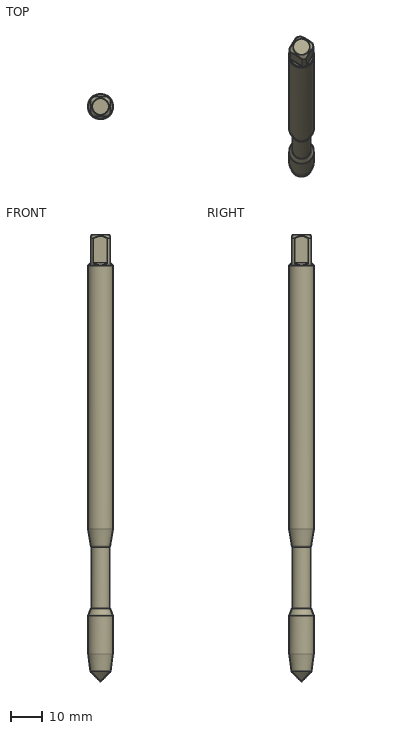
import cadquery as cq

total_length = 143.1

thread_diameter = 8.0
tip_diameter = 6.6
tip_height = tip_diameter / 2
lead_top = 8.9
thread_top = 21.0
back_cone_bottom = 21.5
back_cone_bottom_diameter = 7.7
back_cone_top = 23.2
back_cone_top_diameter = 6.5
head_top = 23.5

shank_diameter = 8.2
neck_diameter = 6.0
shank_bottom = 49.0
neck_top = 43.1
neck_bevel_top = 43.5
neck_bevel_diameter = 6.3
shank_top = 133.1

square_width = 6.3
square_corner_diameter = 7.7
square_end_diameter = 5.3
end_chamfer = (square_corner_diameter - square_end_diameter) / 2
shoulder_bevel = (shank_diameter - square_corner_diameter) / 2
shoulder_top = shank_top + shoulder_bevel
ramp_height = (square_corner_diameter - square_width) / 2
ramp_angle = 45.0


def turned(profile):
    """Revolve a list of (diameter, z) points, closed along the axis, about Z."""
    outline = [(diameter / 2, z) for diameter, z in profile]
    return cq.Workplane("XZ").polyline(outline).close().revolve(360, (0, 0, 0), (0, 1, 0))


def make_head():
    """Threaded head with a pointed tip, a tapered lead and a conical back."""
    return turned([
        (0, 0),
        (tip_diameter, tip_height),
        (thread_diameter, lead_top),
        (thread_diameter, thread_top),
        (back_cone_bottom_diameter, back_cone_bottom),
        (back_cone_top_diameter, back_cone_top),
        (neck_diameter, head_top),
        (0, head_top),
    ])


def make_driving_square():
    """Square with rounded corners and a chamfered end; its flats ramp out to the shank."""
    blank = turned([
        (0, shoulder_top),
        (square_corner_diameter, shoulder_top),
        (square_corner_diameter, total_length - end_chamfer),
        (square_end_diameter, total_length),
        (0, total_length),
    ])
    ramps = (
        cq.Workplane("XY")
        .workplane(offset=shoulder_top)
        .rect(square_corner_diameter, square_corner_diameter)
        .extrude(ramp_height, taper=ramp_angle)
    )
    prism = (
        cq.Workplane("XY")
        .workplane(offset=shoulder_top)
        .rect(square_width, square_width)
        .extrude(total_length - shoulder_top)
    )
    return blank.intersect(prism.union(ramps))


def make_shank():
    """Neck, taper and cylindrical shank ending in the driving square."""
    body = turned([
        (0, head_top),
        (neck_diameter, head_top),
        (neck_diameter, neck_top),
        (neck_bevel_diameter, neck_bevel_top),
        (shank_diameter, shank_bottom),
        (shank_diameter, shank_top),
        (square_corner_diameter, shoulder_top),
        (0, shoulder_top),
    ])
    return body.union(make_driving_square())


head = make_head()
shank = make_shank()
result = cq.Compound.makeCompound([head.val(), shank.val()])